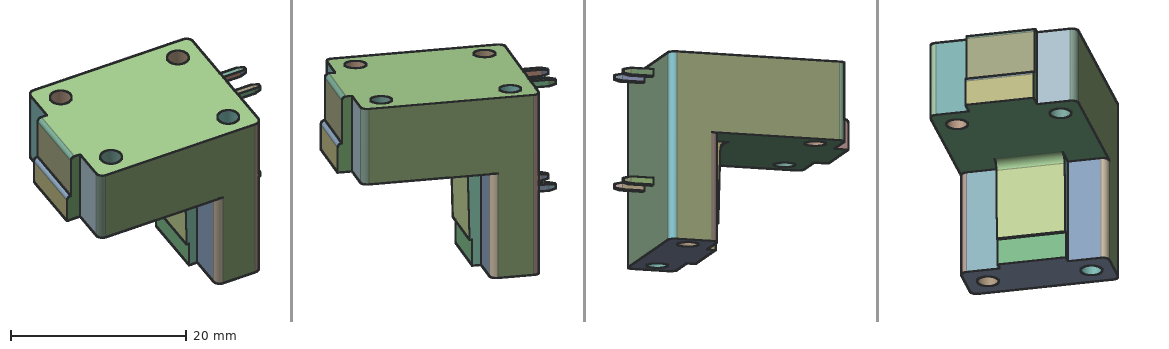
import cadquery as cq
import math


width = 17.4
plate_depth = 21.0
height = 21.9
plate_thickness = 9.2
leg_depth = 5.82
corner_radius = 0.8

plate_bottom = height - plate_thickness
leg_front = plate_depth - leg_depth

hole_diameter = 2.5
hole_spacing_x = 12.15
hole_edge_y = leg_depth / 2

band_width = 8.02
band_depth = 1.2
band_radius = 0.5
lip_depth = band_depth + band_radius
lip_height = 3.55

foot_depth = 1.05
foot_height = 3.17
foot_step = 0.31
face_draft = 1.5
root_radius = 1.0

pin_size = 0.79
pin_tip_size = 0.47
pin_length = 3.48
pin_tip_length = 0.8
pin_spacing_x = 3.48
pin_spacing_z = 12.7
upper_pin_drop = 1.18


def upright_block(depth, block_height, front, bottom):
    """Full-width block with all four vertical edges rounded."""
    return (
        cq.Workplane("XY", origin=(0, front + depth / 2, bottom))
        .rect(width, depth)
        .extrude(block_height)
        .edges("|Z")
        .fillet(corner_radius)
    )


def centre_band(profile):
    """Extrude a closed YZ profile to the width of the centre band."""
    return profile.close().extrude(band_width / 2, both=True)


def plate_band():
    """Rounded band on the plate front with a thicker lip along its lower part."""
    arc_inset = band_radius * (1 - math.sqrt(0.5))
    lip_top = plate_bottom + lip_height
    profile = (
        cq.Workplane("YZ")
        .moveTo(corner_radius, plate_bottom)
        .lineTo(-lip_depth, plate_bottom)
        .lineTo(-lip_depth, lip_top - band_radius)
        .threePointArc(
            (-lip_depth + arc_inset, lip_top - arc_inset),
            (-band_depth, lip_top),
        )
        .lineTo(-band_depth, height - band_radius)
        .threePointArc(
            (-band_depth + arc_inset, height - arc_inset),
            (-band_depth + band_radius, height),
        )
        .lineTo(corner_radius, height)
    )
    return centre_band(profile)


def leg_band():
    """Band on the leg front: a foot at the bottom and a slightly leaning face above it."""
    foot_front = leg_front - foot_depth
    face_bottom = foot_front - foot_step
    face_rise = plate_bottom - foot_height
    face_top = face_bottom - face_rise * math.tan(math.radians(face_draft))
    profile = (
        cq.Workplane("YZ")
        .moveTo(leg_front + corner_radius, 0)
        .lineTo(foot_front, 0)
        .lineTo(foot_front, foot_height)
        .lineTo(face_bottom, foot_height)
        .lineTo(face_top, plate_bottom)
        .lineTo(leg_front + corner_radius, plate_bottom)
    )
    return centre_band(profile), face_top


def pin():
    """Square pin pointing along +Y from the back face, with a tapered tip."""
    shank_end = plate_depth + pin_length - pin_tip_length
    shank = cq.Workplane("XZ", origin=(0, plate_depth, 0)).rect(pin_size, pin_size)
    tip = (
        cq.Workplane("XZ", origin=(0, shank_end, 0))
        .rect(pin_size, pin_size)
        .workplane(offset=-pin_tip_length)
        .rect(pin_tip_size, pin_tip_size)
        .loft(ruled=True)
    )
    return shank.extrude(-(pin_length - pin_tip_length)).union(tip)


plate = upright_block(plate_depth, plate_thickness, 0, plate_bottom)
leg = upright_block(leg_depth, height, leg_front, 0)
lower_band, root_y = leg_band()
result = plate.union(leg).union(plate_band()).union(lower_band)

root_edge = cq.selectors.NearestToPointSelector((0, root_y, plate_bottom))
result = result.edges(root_edge).fillet(root_radius)

hole_spacing_y = plate_depth - 2 * hole_edge_y
holes = (
    cq.Workplane("XY", origin=(0, plate_depth / 2, 0))
    .rarray(hole_spacing_x, hole_spacing_y, 2, 2)
    .circle(hole_diameter / 2)
    .extrude(height)
)
result = result.cut(holes)

upper_pin_z = height - upper_pin_drop
for pin_x in (-pin_spacing_x / 2, pin_spacing_x / 2):
    for pin_z in (upper_pin_z, upper_pin_z - pin_spacing_z):
        result = result.union(pin().translate((pin_x, 0, pin_z)))